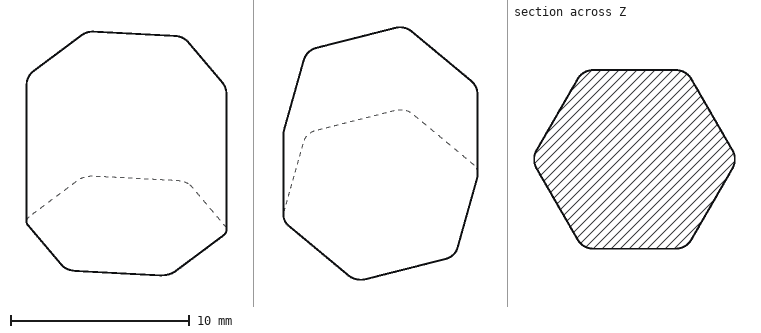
import cadquery as cq
import math

width_across_corners = 11.24
height = 10.0
edge_radius = 1.0

sides = 6
half_angle = math.pi / sides
arc_centre_distance = width_across_corners / 2 - edge_radius
sharp_corner_distance = arc_centre_distance + edge_radius / math.cos(half_angle)

prism = cq.Workplane("XY").polygon(sides, 2 * sharp_corner_distance).extrude(height)

result = prism.edges("|Z or >Z").fillet(edge_radius)